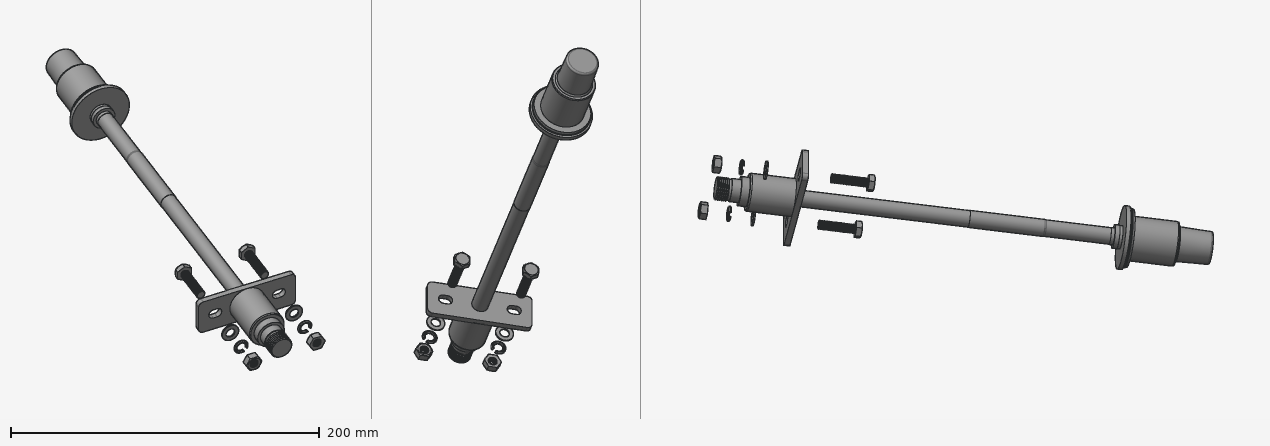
import cadquery as cq
import math


cap_radius = 21.5 / 2
cap_base_radius = 23.0 / 2
cap_edge_radius = 1.3
cap_root_chamfer = 1.0
barrel_start = 23.0
barrel_radius = 29.3 / 2
flange_start = 53.3
flange_end = 59.2
flange_radius = 41.5 / 2
flange_lip_start = 56.2
grip_radius = 39.3 / 2
grip_edge_length = 1.0
grip_edge_height = 0.5
grip_depth = 0.3
grip_pitch = 1.0

bevel_length = 1.0
bevel_height = 0.4

collar_radius = 15.5 / 2
collar_neck_radius = 15.3 / 2
collar_neck_end = 61.2
collar_end = 64.2
strain_relief_end = 66.5
rod_radius = 11.0 / 2
sleeve_radius = 11.3 / 2
sleeve_start = 110.2
sleeve_end = 159.5
sleeve_taper = 1.0

plate_start = 271.3
plate_thickness = 4.0
plate_width = 70.0
plate_height = 25.3
plate_corner_radius = 3.3
bolt_offset = 23.0
slot_length = 9.3
slot_height = 6.5

housing_radius = 25.0 / 2
housing_end = 305.2
shoulder_radius = 19.3 / 2
shoulder_end = 310.5
neck_radius = 15.3 / 2
neck_end = 316.5
thread_start = 318.2
thread_end = 326.2
thread_pitch = 1.3
thread_depth = 0.5

hex_across_flats = 10.0
hex_across_corners = hex_across_flats / math.cos(math.pi / 6)
hex_bevel_length = 0.5
hex_face_radius = 9.0 / 2
bolt_radius = 6.0 / 2
bolt_start = 226.0
bolt_head_height = 4.0
bolt_shank_length = 24.3
bolt_thread_pitch = 1.0
bolt_thread_depth = 0.3
bolt_root_radius = bolt_radius - bolt_thread_depth
nut_center = 330.0
nut_height = 5.0
nut_stagger = 1.0

washer_center = 297.2
washer_thickness = 1.0
washer_radius = 12.0 / 2
washer_bore_radius = 6.3 / 2
spring_center = 313.2
spring_thickness = 2.0
spring_radius = 10.0 / 2
spring_bore_radius = 6.0 / 2
spring_edge = 0.5
spring_gap = 2.5
spring_gap_angle = -45


def revolve_profile(points):
    """Solid of revolution about the X axis from (x, radius) points, with its seam on the -Y side."""
    outline = [(x, -radius) for x, radius in points]
    return cq.Workplane("XY").polyline(outline).close().revolve(360, (0, 0, 0), (1, 0, 0))


def ring_thread(start, end, crest, root, pitch):
    """(x, radius) points of V-shaped rings that run from start to end."""
    count = round((end - start) / pitch)
    step = (end - start) / count
    points = [(start, root)]
    for i in range(count):
        points.append((start + (i + 0.5) * step, crest))
        points.append((start + (i + 1) * step, root))
    return points


def make_plug():
    """Cap, barrel and the flange with its ringed grip."""
    grip_start = flange_start + grip_edge_length
    points = [
        (0, 0),
        (0, cap_radius),
        (barrel_start - cap_root_chamfer, cap_base_radius),
        (barrel_start, cap_base_radius + cap_root_chamfer),
        (barrel_start, barrel_radius - bevel_height),
        (barrel_start + bevel_length, barrel_radius),
        (flange_start, barrel_radius),
        (flange_start, grip_radius - grip_edge_height),
    ]
    points += ring_thread(grip_start, flange_lip_start, grip_radius, grip_radius - grip_depth, grip_pitch)
    points += [
        (flange_lip_start, flange_radius),
        (flange_end, flange_radius),
        (flange_end, 0),
    ]
    return revolve_profile(points).faces("<X").edges().fillet(cap_edge_radius)


def make_rod():
    """Collar and the long rod, thickened along the sleeve, up to the plate."""
    return revolve_profile([
        (flange_end, 0),
        (flange_end, collar_neck_radius),
        (collar_neck_end, collar_neck_radius),
        (collar_neck_end, collar_radius),
        (collar_end, collar_radius),
        (collar_end, sleeve_radius),
        (strain_relief_end, sleeve_radius),
        (strain_relief_end, rod_radius),
        (sleeve_start - sleeve_taper, rod_radius),
        (sleeve_start, sleeve_radius),
        (sleeve_end, sleeve_radius),
        (sleeve_end, rod_radius),
        (plate_start, rod_radius),
        (plate_start, 0),
    ])


def make_plate():
    """Rounded plate with a slot for each bolt."""
    plate = (
        cq.Workplane("YZ", origin=(plate_start, 0, 0))
        .rect(plate_width, plate_height)
        .extrude(plate_thickness)
        .edges("|X")
        .fillet(plate_corner_radius)
    )
    slots = (
        cq.Workplane("YZ", origin=(plate_start, 0, 0))
        .pushPoints([(-bolt_offset, 0), (bolt_offset, 0)])
        .slot2D(slot_length, slot_height)
        .extrude(plate_thickness)
    )
    return plate.cut(slots)


def make_connector():
    """Stepped housing behind the plate, ending in a ringed thread."""
    housing_start = plate_start + plate_thickness
    thread_root = neck_radius - thread_depth
    points = [
        (housing_start, 0),
        (housing_start, housing_radius),
        (housing_end - bevel_length, housing_radius),
        (housing_end, housing_radius - bevel_height),
        (housing_end, shoulder_radius),
        (shoulder_end, shoulder_radius),
        (shoulder_end, neck_radius),
        (neck_end, neck_radius),
        (neck_end, thread_root),
    ]
    points += ring_thread(thread_start, thread_end, neck_radius, thread_root, thread_pitch)
    points.append((thread_end, 0))
    return revolve_profile(points)


def beveled_hex(length, corner_angle):
    """Hex prism from x = 0 along +X, its first face turned down to a circle.

    corner_angle turns a corner from +Y toward +Z.
    """
    corner_radius = hex_across_corners / 2
    prism = cq.Workplane("YZ").polygon(6, hex_across_corners).extrude(length)
    prism = prism.rotate((0, 0, 0), (1, 0, 0), corner_angle)
    envelope = revolve_profile([
        (0, 0),
        (0, hex_face_radius),
        (hex_bevel_length, corner_radius),
        (length, corner_radius),
        (length, 0),
    ])
    return prism.intersect(envelope)


def threaded_core(start, end):
    """Ringed cylinder that fills a bolt shank or a nut bore."""
    rings = ring_thread(start, end, bolt_radius, bolt_root_radius, bolt_thread_pitch)
    return revolve_profile([(start, 0)] + rings + [(end, 0)])


def make_bolt():
    """Hex bolt with its beveled head toward -X and two head corners on the Z axis."""
    head = beveled_hex(bolt_head_height, 90)
    shank = threaded_core(bolt_head_height, bolt_head_height + bolt_shank_length)
    return head.union(shank).translate((bolt_start, 0, 0))


def ring(center, thickness, outer_radius, bore_radius):
    """Flat ring about X, centred at the given station."""
    return (
        cq.Workplane("YZ", origin=(center - thickness / 2, 0, 0))
        .circle(outer_radius)
        .circle(bore_radius)
        .extrude(thickness)
    )


def make_flat_washer():
    return ring(washer_center, washer_thickness, washer_radius, washer_bore_radius)


def make_spring_washer():
    """Ring with broken edges, split at one place."""
    gap = (
        cq.Workplane("XY")
        .box(2 * spring_thickness, 2 * spring_radius, spring_gap)
        .translate((spring_center, spring_radius, 0))
        .rotate((0, 0, 0), (1, 0, 0), spring_gap_angle)
    )
    body = ring(spring_center, spring_thickness, spring_radius, spring_bore_radius)
    return body.faces("<X or >X").edges().chamfer(spring_edge).cut(gap)


def make_nut(bevel_side):
    """Hex nut with two corners on the Y axis, beveled on its -X or +X side (bevel_side -1 or 1)."""
    nut = beveled_hex(nut_height, 0).cut(threaded_core(0, nut_height))
    nut = nut.translate((-nut_height / 2, 0, 0))
    if bevel_side > 0:
        nut = nut.rotate((0, 0, 0), (0, 0, 1), 180)
    return nut.translate((nut_center + bevel_side * nut_stagger / 2, 0, 0))


cable = make_plug().union(make_rod()).union(make_plate()).union(make_connector())

bodies = [cable.val()]
for side in (-1, 1):
    fasteners = [make_bolt(), make_flat_washer(), make_spring_washer(), make_nut(-side)]
    for fastener in fasteners:
        bodies.append(fastener.translate((0, side * bolt_offset, 0)).val())

result = cq.Compound.makeCompound(bodies)